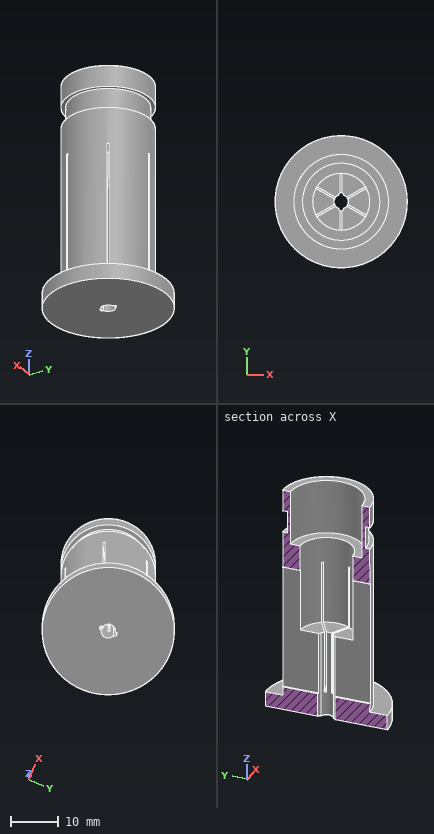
import cadquery as cq

total_height = 52.5
flange_diameter = 28.0
flange_height = 3.5
body_diameter = 20.0

groove_diameter = 18.0
groove_width = 5.0
collar_height = 5.0
groove_top = total_height - collar_height
groove_bottom = groove_top - groove_width

finger_count = 6
slot_width = 0.4
slot_bottom = 5.5
slot_top = 34.0
slot_height = slot_top - slot_bottom

mouth_diameter = 16.35
mouth_floor = 40.0
chamber_diameter = 12.0
grip_top = (slot_bottom + slot_top) / 2
grip_diameter = 3.0
notch_diameter = 0.9


def cylinder(diameter, bottom, top):
    """Vertical cylinder on the Z axis between two heights."""
    return cq.Workplane("XY").workplane(offset=bottom).circle(diameter / 2).extrude(top - bottom)


def outer_sleeve():
    """Flanged sleeve with a groove below its top collar."""
    flange = cylinder(flange_diameter, 0, flange_height)
    body = cylinder(body_diameter, flange_height, groove_bottom)
    neck = cylinder(groove_diameter, groove_bottom, groove_top)
    collar = cylinder(body_diameter, groove_top, total_height)
    return flange.union(body).union(neck).union(collar)


def stepped_bore():
    """Mouth, chamber and the through grip hole with a round notch on each Y side."""
    mouth = cylinder(mouth_diameter, mouth_floor, total_height)
    chamber = cylinder(chamber_diameter, grip_top, mouth_floor)
    grip = cylinder(grip_diameter, 0, grip_top)
    notch = cylinder(notch_diameter, 0, grip_top)
    for side in (-1, 1):
        grip = grip.union(notch.translate((0, side * grip_diameter / 2, 0)))
    return mouth.union(chamber).union(grip)


def cut_slots(part):
    """Cut opposite pairs of slots straight across the body, starting along Y."""
    pair_count = finger_count // 2
    slot_pair = (
        cq.Workplane("XY")
        .workplane(offset=slot_bottom)
        .rect(slot_width, flange_diameter)
        .extrude(slot_height)
    )
    for pair in range(pair_count):
        angle = pair * 180 / pair_count
        part = part.cut(slot_pair.rotate((0, 0, 0), (0, 0, 1), angle))
    return part


result = cut_slots(outer_sleeve().cut(stepped_bore()))